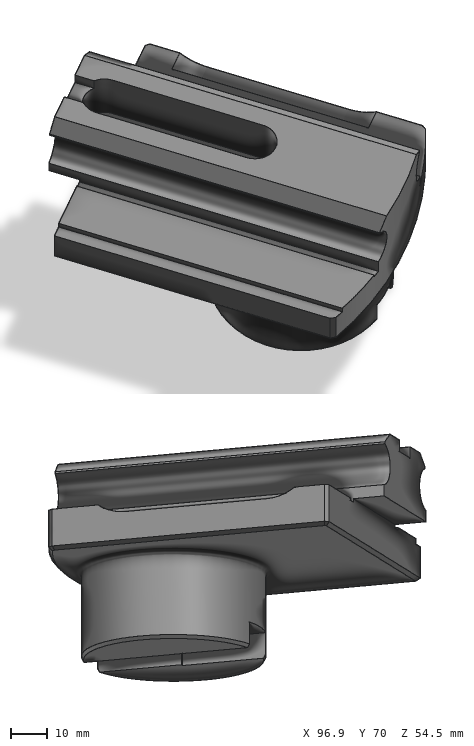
import cadquery as cq
import math

length = 96.9
width = 70.0
height = 54.5
half_width = width / 2
end_radius = 90.1

plate_start = 8.9
plate_top = -18.5
plate_bottom = -29.8
plate_edge_chamfer = 1.0
corner_chamfer = 1.0
step_width = 3.3
step_depth = 1.55

rail_top_half = 11.3
rail_lip_half = 15.2
rail_foot_half = 15.8
rail_lip_drop = 3.0
rail_bottom = -18.2
flute_radius = 6.0
flute_center_y = 17.2
flute_center_z = -9.2
relief_half = 17.9
relief_depth = 0.7

slot_start = 4.1
slot_end = 59.7
slot_width = 12.0
slot_depth = 14.5
notch_width = 8.0
notch_depth = 3.2

recess_start = 18.6
recess_end = 75.6
recess_reach = 6.0
recess_runout = 8.0
recess_radius = 14.005

boss_diameter = 50.0
boss_center_x = 67.1
boss_fillet = 1.55
boss_chamfer_height = 1.0
boss_chamfer_inset = 0.6
cross_slot_depth = 7.1
cross_slot_half = 5.9
cross_slot_widening = 1.0


def box(x_range, y_range, z_range):
    """Box spanning the given coordinate ranges."""
    spans = [high - low for low, high in (x_range, y_range, z_range)]
    corner = (x_range[0], y_range[0], z_range[0])
    return cq.Workplane("XY").box(*spans, centered=False).translate(corner)


def rounded_end_blank(start, half, bottom, top):
    """Block whose +X end follows the large end arc."""
    shoulder = length - end_radius + math.sqrt(end_radius**2 - half**2)
    return (
        cq.Workplane("XY", origin=(0, 0, bottom))
        .moveTo(start, -half)
        .lineTo(shoulder, -half)
        .threePointArc((length, 0), (shoulder, half))
        .lineTo(start, half)
        .close()
        .extrude(top - bottom)
    )


def make_plate():
    plate = rounded_end_blank(plate_start, half_width, plate_bottom, plate_top)
    plate = plate.edges("|Z").edges(">X or (<X and >Y)").chamfer(corner_chamfer)
    plate = plate.faces("<Z").edges().chamfer(plate_edge_chamfer)
    step = box((0, length), (-half_width, step_width - half_width), (plate_top - step_depth, plate_top))
    relief = box((0, length), (-relief_half, relief_half), (plate_top - relief_depth, plate_top))
    return plate.cut(step).cut(relief)


def make_rail():
    def flute_z(half, side):
        return flute_center_z + side * math.sqrt(flute_radius**2 - (flute_center_y - half) ** 2)

    flute_top = flute_z(rail_lip_half, 1)
    flute_bottom = flute_z(rail_foot_half, -1)
    flute_inner = flute_center_y - flute_radius
    profile = (
        cq.Workplane("YZ")
        .moveTo(-rail_top_half, 0)
        .lineTo(rail_top_half, 0)
        .lineTo(rail_lip_half, -rail_lip_drop)
        .lineTo(rail_lip_half, flute_top)
        .threePointArc((flute_inner, flute_center_z), (rail_foot_half, flute_bottom))
        .lineTo(rail_foot_half, rail_bottom)
        .lineTo(-rail_foot_half, rail_bottom)
        .lineTo(-rail_foot_half, flute_bottom)
        .threePointArc((-flute_inner, flute_center_z), (-rail_lip_half, flute_top))
        .lineTo(-rail_lip_half, -rail_lip_drop)
        .close()
    )
    rail = profile.extrude(length)
    foot_bottom = plate_top - relief_depth
    foot = box((plate_start, length), (-rail_foot_half, rail_foot_half), (foot_bottom, rail_bottom))
    return rail.union(foot).intersect(rounded_end_blank(0, half_width, foot_bottom, 0))


def make_rail_slot():
    slot = (
        cq.Workplane("XY")
        .center((slot_start + slot_end) / 2, 0)
        .slot2D(slot_end - slot_start, slot_width)
        .extrude(-slot_depth)
    )
    notch = box((0, slot_start + slot_width / 2), (-notch_width / 2, notch_width / 2), (-notch_depth, 0))
    return slot.union(notch)


def make_recess():
    def arc_rise(run):
        return recess_radius - math.sqrt(recess_radius**2 - run**2)

    floor = plate_top - arc_rise(recess_runout)
    arc_middle_z = floor + arc_rise(recess_runout / 2)
    return (
        cq.Workplane("XZ", origin=(0, half_width, 0))
        .moveTo(recess_start, plate_top)
        .threePointArc((recess_start + recess_runout / 2, arc_middle_z), (recess_start + recess_runout, floor))
        .lineTo(recess_end - recess_runout, floor)
        .threePointArc((recess_end - recess_runout / 2, arc_middle_z), (recess_end, plate_top))
        .close()
        .extrude(recess_reach)
    )


def make_boss():
    radius = boss_diameter / 2
    fillet_middle = boss_fillet * (1 - math.sqrt(0.5))
    boss = (
        cq.Workplane("XZ")
        .moveTo(0, plate_bottom)
        .lineTo(radius + boss_fillet, plate_bottom)
        .threePointArc((radius + fillet_middle, plate_bottom - fillet_middle), (radius, plate_bottom - boss_fillet))
        .lineTo(radius, boss_chamfer_height - height)
        .lineTo(radius - boss_chamfer_inset, -height)
        .lineTo(0, -height)
        .close()
        .revolve(360, (0, 0), (0, 1))
        .translate((boss_center_x, 0, 0))
    )
    slot_z = (-height, cross_slot_depth - height)
    cross_slot = box((0, length), (-cross_slot_half, cross_slot_half), slot_z)
    wide_half = box((0, boss_center_x), (-cross_slot_half - cross_slot_widening, cross_slot_half), slot_z)
    return boss.cut(cross_slot).cut(wide_half)


plate = make_plate().cut(make_recess())
result = plate.union(make_rail()).union(make_boss()).cut(make_rail_slot())